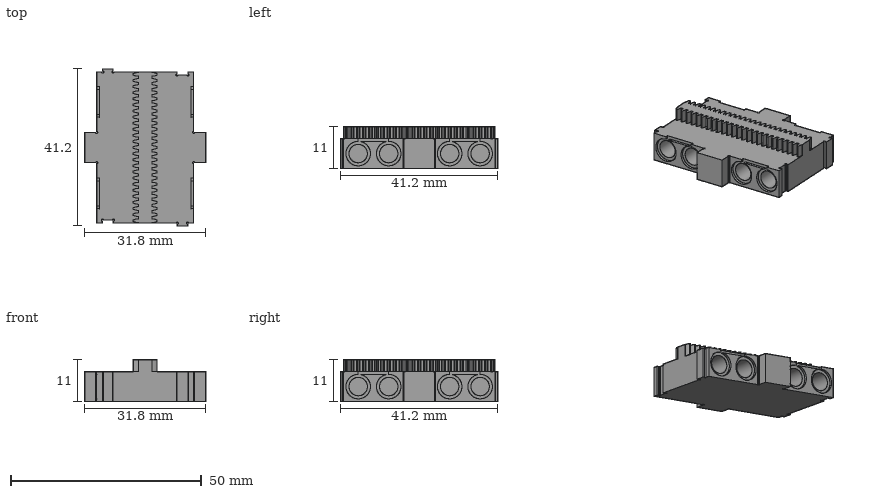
import cadquery as cq

total_length = 41.2
total_width = 31.8
total_height = 11.0

base_width = 25.45
base_height = 7.83
tab_depth = 0.8
base_length = total_length - 2 * tab_depth
half_width = base_width / 2
half_length = base_length / 2

lug_length = 7.95

tab_inner_x = 8.4
tab_outer_x = 11.2
tab_width = tab_outer_x - tab_inner_x
tab_center_x = (tab_inner_x + tab_outer_x) / 2
relief_radius = 0.25
relief_inset = 0.1

hole_pitch = 8.0
hole_diameter = 4.8
hole_depth = 8.0
counterbore_diameter = 6.43
counterbore_depth = 0.75
slot_height = 0.8
hole_z = base_height / 2

teeth_per_hole_pitch = 5
tooth_pitch = hole_pitch / teeth_per_hole_pitch
tooth_count = 25
rack_height = total_height - base_height
tip_x = 3.15
root_x = 1.75
gap_width_at_tip = 1.25
gap_width_at_root = 0.6


def box(x_min, x_max, y_center, length, z_min, z_max):
    """Axis-aligned block given by its X range, Y centre and length, and Z range."""
    return cq.Workplane("XY").box(
        x_max - x_min, length, z_max - z_min, centered=(False, True, False)
    ).translate((x_min, y_center, z_min))


def base_block():
    """Plate with two side lugs, and a tab and a notch diagonally placed on each end."""
    plate = box(-half_width, half_width, 0, base_length, 0, base_height)
    lugs = box(-total_width / 2, total_width / 2, 0, lug_length, 0, base_height)
    block = plate.union(lugs)
    for side in (-1, 1):
        x_min = side * tab_center_x - tab_width / 2
        x_max = x_min + tab_width
        tab = box(x_min, x_max, -side * half_length, 2 * tab_depth, 0, base_height)
        notch = box(x_min, x_max, side * half_length, 2 * tab_depth, 0, base_height)
        block = block.union(tab).cut(notch)
    return block


def corner_reliefs():
    """Vertical round grooves in the inside corners of the lugs, tabs and notches."""
    centers = []
    for side in (-1, 1):
        centers += [(side * half_width, y) for y in (-lug_length / 2, lug_length / 2)]
        tab_corner_y = -side * half_length
        notch_corner_y = side * (half_length - tab_depth)
        centers += [
            (side * tab_inner_x, tab_corner_y),
            (side * (tab_outer_x - relief_inset), tab_corner_y),
            (side * (tab_inner_x - relief_inset), notch_corner_y),
            (side * tab_outer_x, notch_corner_y),
        ]
    return cq.Workplane("XY").pushPoints(centers).circle(relief_radius).extrude(base_height)


def side_holes():
    """Blind counterbored pin holes opening on the -X side, with their joining slots."""
    positions = [(n * hole_pitch, hole_z) for n in (-2, -1, 1, 2)]
    slot_y = 1.5 * hole_pitch
    face = cq.Workplane("YZ", origin=(-half_width, 0, 0)).pushPoints(positions)
    cutter = face.circle(hole_diameter / 2).extrude(hole_depth)
    cutter = cutter.union(face.circle(counterbore_diameter / 2).extrude(counterbore_depth))
    for side in (-1, 1):
        slot = box(
            -half_width, -half_width + counterbore_depth,
            side * slot_y, hole_pitch,
            base_height - slot_height, base_height,
        )
        cutter = cutter.union(slot)
    return cutter


def tooth_gap():
    """One gap between teeth on the +X side, centred on Y = 0.

    Each flank is an arc that starts square to the root face and curves away to the tip."""
    tip = gap_width_at_tip / 2
    root = gap_width_at_root / 2
    run = tip_x - root_x
    rise = tip - root
    flank_radius = (run**2 + rise**2) / (2 * rise)
    return (
        cq.Workplane("XY", origin=(0, 0, base_height))
        .moveTo(root_x, -root)
        .lineTo(root_x, root)
        .radiusArc((tip_x, tip), -flank_radius)
        .lineTo(tip_x, -tip)
        .radiusArc((root_x, -root), -flank_radius)
        .close()
        .extrude(rack_height)
    )


def rack():
    """Bar on top of the base, toothed along both long sides."""
    bar = box(-tip_x, tip_x, 0, base_length, base_height, total_height)
    right_gap = tooth_gap()
    left_gap = right_gap.mirror("YZ")
    for n in range(tooth_count + 1):
        shift = (0, (n - tooth_count / 2) * tooth_pitch, 0)
        bar = bar.cut(right_gap.translate(shift)).cut(left_gap.translate(shift))
    return bar


holes = side_holes()
result = (
    base_block()
    .cut(corner_reliefs())
    .cut(holes)
    .cut(holes.mirror("YZ"))
    .union(rack())
)